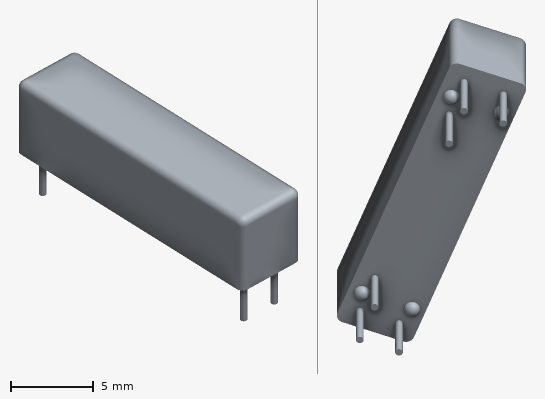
import cadquery as cq

length = 20.07
width = 4.95
housing_height = 5.3
edge_radius = 0.5

pitch = 2.54
pin_diameter = 0.46
pin_length = 3.2
outer_pin_x = 3.5 * pitch
inner_pin_x = 2.5 * pitch
pin_row_y = pitch / 2

standoff_radius = 0.5
standoff_x = (outer_pin_x + inner_pin_x) / 2
standoff_y = 1.63


def mirrored_points(x, y):
    return [(side_x * x, side_y * y) for side_x in (-1, 1) for side_y in (-1, 1)]


def make_housing():
    block = cq.Workplane("XY").box(length, width, housing_height, centered=(True, True, False))
    return block.edges("|Z or >Z").fillet(edge_radius)


def make_pins():
    outer_points = mirrored_points(outer_pin_x, pin_row_y)
    inner_points = [(-inner_pin_x, pin_row_y), (inner_pin_x, pin_row_y)]
    pin_points = outer_points + inner_points
    return cq.Workplane("XY").pushPoints(pin_points).circle(pin_diameter / 2).extrude(-pin_length)


def make_standoffs():
    standoff_points = mirrored_points(standoff_x, standoff_y)
    return cq.Workplane("XY").pushPoints(standoff_points).sphere(standoff_radius)


result = make_housing().union(make_pins()).union(make_standoffs())